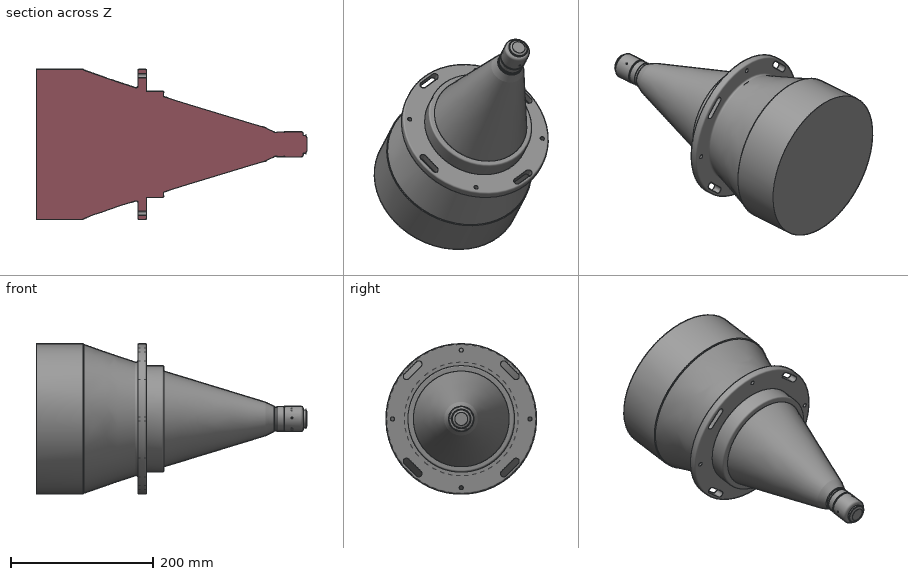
import cadquery as cq
import math

full_turn = 360.0

length = 380.5
flange_radius = 106.0
body_radius = 105.8
body_length = 67.0
body_edge = 1.0

reducer_end = 139.3
neck_radius = 80.0
reducer_sag = 0.5
neck_fillet = 2.3

flange_start = 142.7
flange_end = 155.0
flange_fillet = 2.3

collar_end = 179.3
collar_radius = 75.0
collar_fillet = 2.3

cone_start_radius = 67.5
cone_end = 322.5
cone_end_radius = 23.5

tip_start = 334.0
tip_groove_radius = 16.7
tip_groove_start = 335.3
tip_groove_end = 338.5
ring_radius = 17.5
ring_end = 348.0
tip_sleeve_start = 349.0
tip_radius = 18.0
tip_fillet = 3.5
tip_end = 375.3
head_groove_radius = 12.5
head_start = 378.7
head_radius = 13.7
head_end_radius = 9.0

bolt_circle_radius = 96.5
slot_length = 33.5
slot_width = 9.0
slot_angle = 45.0
pin_hole_diameter = 5.7
flange_hole_count = 4

tip_hole_x = 359.3
tip_hole_diameter = 2.3
tip_hole_depth = 3.8
tip_hole_angle = 54.6
tip_hole_count = 3


def make_turned_body():
    reducer_start_radius = body_radius - body_edge
    reducer_middle = (
        (body_length + reducer_end) / 2,
        (reducer_start_radius + neck_radius) / 2 - reducer_sag,
    )
    flange_foot = neck_radius + neck_fillet
    fillet_offset = neck_fillet * (1 - math.sqrt(0.5))
    profile = (
        cq.Workplane("XZ")
        .moveTo(0, 0)
        .lineTo(0, body_radius)
        .lineTo(body_length - body_edge, body_radius)
        .lineTo(body_length, reducer_start_radius)
        .threePointArc(reducer_middle, (reducer_end, neck_radius))
        .lineTo(flange_start - neck_fillet, neck_radius)
        .threePointArc(
            (flange_start - fillet_offset, neck_radius + fillet_offset),
            (flange_start, flange_foot),
        )
        .lineTo(flange_start, flange_radius)
        .lineTo(flange_end, flange_radius)
        .lineTo(flange_end, collar_radius)
        .lineTo(collar_end, collar_radius)
        .lineTo(collar_end, cone_start_radius)
        .lineTo(cone_end, cone_end_radius)
        .lineTo(tip_start, tip_radius)
        .lineTo(tip_groove_start, tip_groove_radius)
        .lineTo(tip_groove_end, tip_groove_radius)
        .lineTo(tip_groove_end, ring_radius)
        .lineTo(ring_end, ring_radius)
        .lineTo(ring_end, tip_groove_radius)
        .lineTo(tip_sleeve_start, tip_groove_radius)
        .lineTo(tip_sleeve_start, tip_radius)
        .lineTo(tip_end, tip_radius)
        .lineTo(tip_end, head_groove_radius)
        .lineTo(head_start, head_groove_radius)
        .lineTo(head_start, head_radius)
        .lineTo(length, head_end_radius)
        .lineTo(length, 0)
        .close()
    )
    return profile.revolve(full_turn, (0, 0, 0), (1, 0, 0))


def round_rim(part, x, radius, fillet):
    """Round the circular edge of the given radius that lies at station x."""
    margin = 0.2
    inner = radius - margin
    outer = radius + margin
    whole_station = cq.selectors.BoxSelector(
        (x - margin, -outer, -outer), (x + margin, outer, outer), boundingbox=True
    )
    smaller_edges = cq.selectors.BoxSelector(
        (x - margin, -inner, -inner), (x + margin, inner, inner), boundingbox=True
    )
    return part.edges(whole_station - smaller_edges).fillet(fillet)


def cut_flange_holes(part):
    thickness = flange_end - flange_start
    face = cq.Workplane("YZ", origin=(flange_start, 0, 0))
    slots = (
        face.polarArray(bolt_circle_radius, slot_angle, full_turn, flange_hole_count)
        .slot2D(slot_length, slot_width, 90)
        .extrude(thickness)
    )
    pin_holes = (
        face.polarArray(bolt_circle_radius, 0, full_turn, flange_hole_count)
        .circle(pin_hole_diameter / 2)
        .extrude(thickness)
    )
    return part.cut(slots).cut(pin_holes)


def cut_tip_holes(part):
    for index in range(tip_hole_count):
        angle = math.radians(tip_hole_angle + index * full_turn / tip_hole_count)
        outward = cq.Vector(0, math.cos(angle), math.sin(angle))
        mouth = cq.Vector(tip_hole_x, 0, 0) + outward * tip_radius
        hole = cq.Solid.makeCylinder(
            tip_hole_diameter / 2,
            2 * tip_hole_depth,
            mouth - outward * tip_hole_depth,
            outward,
        )
        part = part.cut(cq.Workplane(hole))
    return part


part = make_turned_body()
part = round_rim(part, flange_start, flange_radius, flange_fillet)
part = round_rim(part, flange_end, flange_radius, flange_fillet)
part = round_rim(part, collar_end, collar_radius, collar_fillet)
part = round_rim(part, tip_end, tip_radius, tip_fillet)
part = cut_flange_holes(part)
result = cut_tip_holes(part)